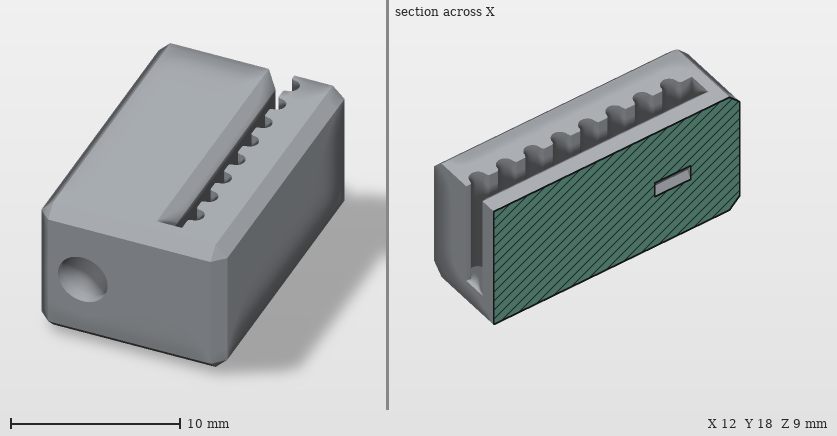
import cadquery as cq
import math

WIDTH = 12.0
LENGTH = 18.0
HEIGHT = 9.0
CHAMFER = 0.75

FRONT = -LENGTH / 2
BACK = LENGTH / 2
TOP = HEIGHT / 2
LEFT = -WIDTH / 2

BORE_DIAMETER = 3.2
REAR_BORE_DIAMETER = 3.5
BORE_X = LEFT / 2
NUT_ACROSS_FLATS = 5.72
NUT_POCKET_LENGTH = 2.6
NUT_POCKET_INSET = 3.62
NUT_POCKET_BACK = FRONT + NUT_POCKET_INSET + NUT_POCKET_LENGTH

SLOT_LEFT = 1.89
SLOT_RIGHT = 2.75
SLOT_FRONT_WALL = 1.5
SLOT_FLOOR_THICKNESS = 1.5
SLOT_LEAD_IN = 0.77

TOOTH_COUNT = 8
TOOTH_PITCH = LENGTH / 9
TOOTH_DIAMETER = 1.12
TOOTH_DEPTH = 0.75
TOOTH_EDGE_RADIUS = 0.1
TOOTH_FLANK_TAPER = 0.05
LAST_TOOTH_FROM_BACK = TOOTH_PITCH / 2


def make_block():
    """Block with every edge chamfered except those of the back face."""
    block = cq.Workplane("XY").box(WIDTH, LENGTH, HEIGHT)
    return block.edges("not(>Y)").chamfer(CHAMFER)


def make_bore():
    """Screw hole through the full length, slightly wider behind the nut pocket."""
    start = cq.Workplane("XZ", origin=(BORE_X, BACK, 0))
    bore = start.circle(BORE_DIAMETER / 2).extrude(LENGTH)
    rear_bore = start.circle(REAR_BORE_DIAMETER / 2).extrude(BACK - NUT_POCKET_BACK)
    return bore.union(rear_bore)


def make_nut_pocket():
    """Pocket with flat floor and roof and a pointed, half-hexagon inner end."""
    half_height = NUT_ACROSS_FLATS / 2
    corner_radius = half_height / math.cos(math.pi / 6)
    shoulder_x = BORE_X + corner_radius / 2
    outline = [
        (LEFT, -half_height),
        (shoulder_x, -half_height),
        (BORE_X + corner_radius, 0),
        (shoulder_x, half_height),
        (LEFT, half_height),
    ]
    pocket = cq.Workplane("XZ", origin=(0, NUT_POCKET_BACK, 0))
    return pocket.polyline(outline).close().extrude(NUT_POCKET_LENGTH)


def make_tooth_groove(center_y, floor_z):
    """Round-bottomed groove with tapered flanks and rounded edges at the slot wall."""
    radius = TOOTH_DIAMETER / 2
    arc_x = SLOT_RIGHT + TOOTH_DEPTH - radius
    flare_x = SLOT_RIGHT + TOOTH_EDGE_RADIUS
    flank = radius + TOOTH_FLANK_TAPER
    mouth = flank + TOOTH_EDGE_RADIUS
    groove = (
        cq.Workplane("XY", origin=(0, center_y, floor_z))
        .moveTo(SLOT_LEFT, -mouth)
        .lineTo(SLOT_RIGHT, -mouth)
        .radiusArc((flare_x, -flank), TOOTH_EDGE_RADIUS)
        .lineTo(arc_x, -radius)
        .threePointArc((arc_x + radius, 0), (arc_x, radius))
        .lineTo(flare_x, flank)
        .radiusArc((SLOT_RIGHT, mouth), TOOTH_EDGE_RADIUS)
        .lineTo(SLOT_LEFT, mouth)
        .close()
    )
    return groove.extrude(TOP - floor_z)


def make_belt_slot():
    """Slot with a row of tooth grooves and lead-ins at the top and back of its left wall."""
    floor_z = -TOP + SLOT_FLOOR_THICKNESS
    front_y = FRONT + SLOT_FRONT_WALL
    lead_in_x = SLOT_LEFT - SLOT_LEAD_IN

    plan = [
        (SLOT_LEFT, front_y),
        (SLOT_RIGHT, front_y),
        (SLOT_RIGHT, BACK),
        (lead_in_x, BACK),
        (SLOT_LEFT, BACK - SLOT_LEAD_IN),
    ]
    slot = (
        cq.Workplane("XY", origin=(0, 0, floor_z))
        .polyline(plan)
        .close()
        .extrude(TOP - floor_z)
    )

    slope = [(lead_in_x, TOP), (SLOT_LEFT, TOP), (SLOT_LEFT, TOP - SLOT_LEAD_IN)]
    top_lead_in = (
        cq.Workplane("XZ", origin=(0, BACK, 0))
        .polyline(slope)
        .close()
        .extrude(BACK - front_y)
    )
    slot = slot.union(top_lead_in)

    for index in range(TOOTH_COUNT):
        center_y = BACK - LAST_TOOTH_FROM_BACK - index * TOOTH_PITCH
        slot = slot.union(make_tooth_groove(center_y, floor_z))
    return slot


result = make_block().cut(make_bore()).cut(make_nut_pocket()).cut(make_belt_slot())